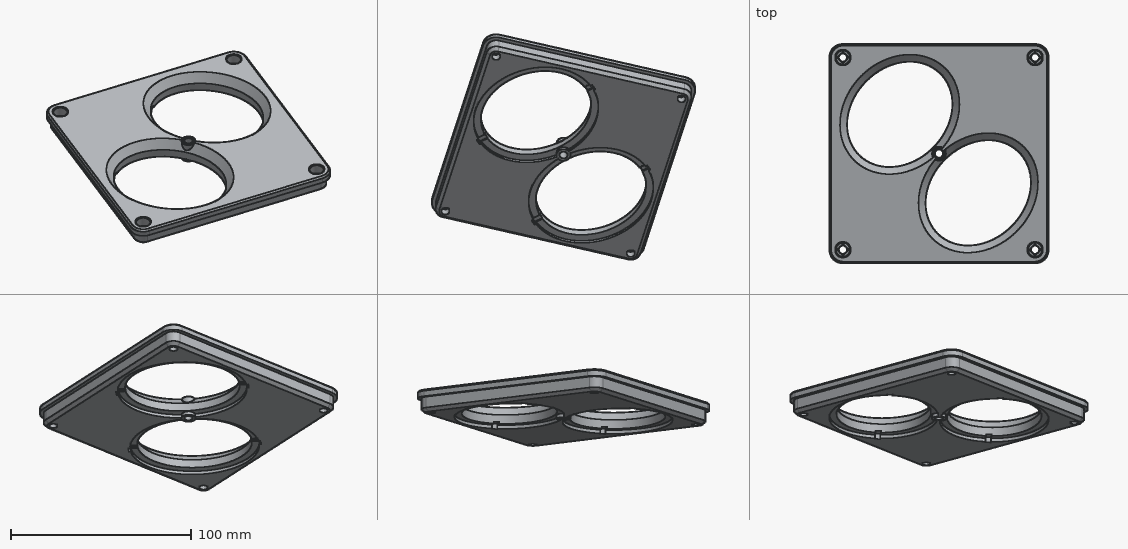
import cadquery as cq
import math

side = 121.8
height = 12.0
lip_height = 4.0
lip_corner_radius = 7.5
lip_chamfer = 1.0
body_inset = 2.1
body_chamfer = 2.0

opening_offset = 30.8
throat_long_radius = 31.9
throat_short_radius = 26.2
rim_flare = 4.0
flare_depth = 5.0
long_axis_angle = 45.0

seat_depth = 2.1
slot_width = 3.0
slot_height = 1.0
slot_reach = 1.0

hole_diameter = 4.5
boss_diameter = 7.8
boss_chamfer = 0.4
bore_diameter = 7.8
bore_depth = 6.1
bore_chamfer = 0.5
centre_hole_chamfer = 0.4
step_height = 0.3

corner_spacing = side - 2 * lip_corner_radius
rim_long_radius = throat_long_radius + rim_flare
rim_short_radius = throat_short_radius + rim_flare


def rounded_slab(size, corner_radius, bottom, thickness):
    """Square slab with rounded vertical edges."""
    slab = cq.Workplane("XY").workplane(offset=bottom).rect(size, size).extrude(thickness)
    return slab.edges("|Z").fillet(corner_radius)


def make_plate():
    """Chamfered body with the chamfered lip above it."""
    body_height = height - lip_height
    body = rounded_slab(side - 2 * body_inset, lip_corner_radius - body_inset, 0, body_height)
    body = body.faces("<Z").chamfer(body_chamfer)
    lip = rounded_slab(side, lip_corner_radius, body_height, lip_height)
    lip = lip.faces(">Z").chamfer(lip_chamfer)
    return body.union(lip)


def make_opening():
    """Cutter for one oval opening centred on the origin, long axis along X."""
    throat = cq.Workplane("XY").ellipse(throat_long_radius, throat_short_radius).extrude(height)
    flare = (
        cq.Workplane("XY")
        .workplane(offset=height - flare_depth)
        .ellipse(throat_long_radius, throat_short_radius)
        .workplane(offset=flare_depth)
        .ellipse(rim_long_radius, rim_short_radius)
        .loft(ruled=True)
    )
    seat = cq.Workplane("XY").ellipse(rim_long_radius, rim_short_radius).extrude(seat_depth)
    slot_length = 2 * (rim_long_radius + slot_reach)
    slot = cq.Workplane("XY").rect(slot_length, slot_width).extrude(seat_depth + slot_height)
    return throat.union(flare).union(seat).union(slot)


def chamfered_hole(diameter, bottom, mouth_chamfer):
    """Cutter for a round hole from the given level up to the top face, with a chamfered mouth."""
    radius = diameter / 2
    hole = cq.Workplane("XY").workplane(offset=bottom).circle(radius).extrude(height - bottom)
    mouth = (
        cq.Workplane("XY")
        .workplane(offset=height - mouth_chamfer)
        .circle(radius)
        .workplane(offset=mouth_chamfer)
        .circle(radius + mouth_chamfer)
        .loft(ruled=True)
    )
    return hole.union(mouth)


def make_corner_hole():
    """Cutter for one corner hole: chamfered bore, then a slot and a square step down to the hole."""
    floor = height - bore_depth
    bore = chamfered_hole(bore_diameter, floor, bore_chamfer)
    step_slot = (
        cq.Workplane("XY")
        .workplane(offset=floor - step_height)
        .rect(bore_diameter, hole_diameter)
        .extrude(step_height)
        .intersect(cq.Workplane("XY").circle(bore_diameter / 2).extrude(height))
    )
    step_square = (
        cq.Workplane("XY")
        .workplane(offset=floor - 2 * step_height)
        .rect(hole_diameter, hole_diameter)
        .extrude(2 * step_height)
    )
    through = cq.Workplane("XY").circle(hole_diameter / 2).extrude(height)
    cutter = bore.union(step_slot).union(step_square).union(through)
    return cutter.rotate((0, 0, 0), (0, 0, 1), long_axis_angle)


plate = make_plate()

opening = make_opening().rotate((0, 0, 0), (0, 0, 1), long_axis_angle)
opening_shift = opening_offset / math.sqrt(2)
for direction in (-1, 1):
    plate = plate.cut(opening.translate((direction * opening_shift, -direction * opening_shift, 0)))

boss = cq.Workplane("XY").circle(boss_diameter / 2).extrude(height)
boss = boss.faces(">Z").chamfer(boss_chamfer)
centre_hole = chamfered_hole(hole_diameter, 0, centre_hole_chamfer)
plate = plate.union(boss).cut(centre_hole)

corner_hole = make_corner_hole()
for x_sign in (-1, 1):
    for y_sign in (-1, 1):
        position = (x_sign * corner_spacing / 2, y_sign * corner_spacing / 2, 0)
        plate = plate.cut(corner_hole.translate(position))

result = plate